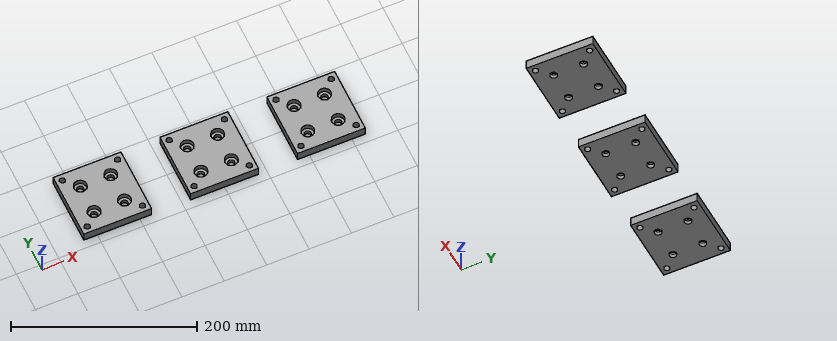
import cadquery as cq

row_length = 332.0
plate_count = 3
plate_side = 80.0
plate_thickness = 12.0
plate_pitch = (row_length - plate_side) / (plate_count - 1)

corner_hole_diameter = 6.5
corner_hole_spacing = 65.0

screw_hole_diameter = 8.3
screw_hole_spacing = 36.0
counterbore_diameter = 15.0
counterbore_depth = 6.5


def cut_corner_holes(plate):
    """Drill one plain hole through the plate near each corner."""
    return (
        plate.faces(">Z").workplane()
        .rarray(corner_hole_spacing, corner_hole_spacing, 2, 2)
        .hole(corner_hole_diameter)
    )


def cut_screw_holes(plate):
    """Drill the four screw holes, counterbored from the top face."""
    return (
        plate.faces(">Z").workplane()
        .rarray(screw_hole_spacing, screw_hole_spacing, 2, 2)
        .cboreHole(screw_hole_diameter, counterbore_diameter, counterbore_depth)
    )


def make_plate(center_x):
    """Square plate standing on Z = 0, centred at center_x along X."""
    plate = cq.Workplane("XY").box(plate_side, plate_side, plate_thickness, centered=(True, True, False))
    plate = cut_corner_holes(plate)
    plate = cut_screw_holes(plate)
    return plate.translate((center_x, 0, 0))


plates = []
for index in range(plate_count):
    center_x = (index - (plate_count - 1) / 2) * plate_pitch
    plates.append(make_plate(center_x).val())

result = cq.Compound.makeCompound(plates)